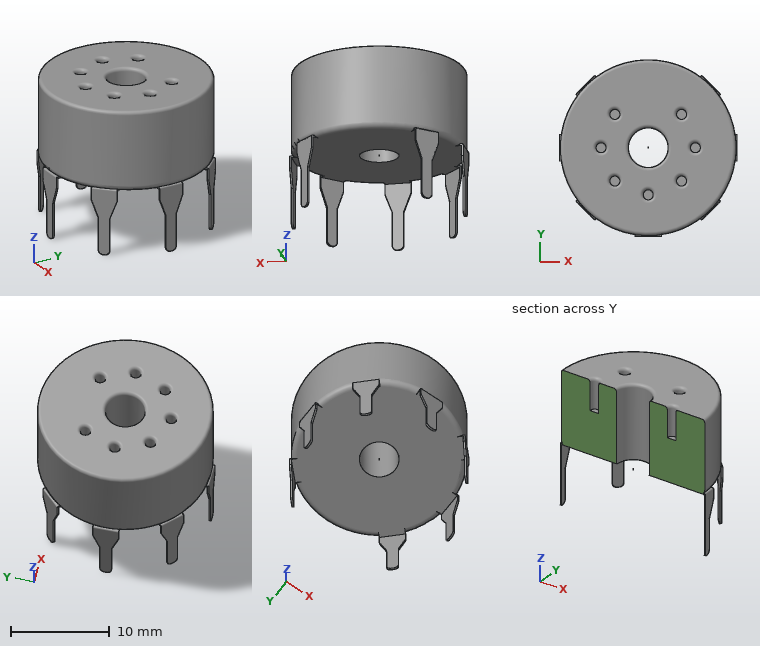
import cadquery as cq
import math

HOUSING_DIAMETER = 17.8
HOUSING_HEIGHT = 8.8
BOTTOM_EDGE_RADIUS = 0.6
TOP_EDGE_RADIUS = 0.36
BORE_DIAMETER = 4.0

CONTACT_SPACING = 45
CONTACT_COUNT = 7
FIRST_CONTACT_ANGLE = 135
CONTACT_ANGLES = [FIRST_CONTACT_ANGLE + i * CONTACT_SPACING for i in range(CONTACT_COUNT)]

SOCKET_DIAMETER = 1.0
SOCKET_CIRCLE_RADIUS = 4.77
SOCKET_DEPTH = 3.6

TERMINAL_OUTER_RADIUS = 9.0
TERMINAL_THICKNESS = 0.2
TERMINAL_ROOT_RADIUS = 7.92
SHOULDER_WIDTH = 2.7
LEG_WIDTH = 1.2
SHOULDER_Z = -1.1
LEG_TOP_Z = -3.05
TIP_Z = -7.1
TIP_RADIUS = 0.5
BEND_OUTER_RADIUS = 0.15

CENTRE_PIN_DIAMETER = 0.1
CENTRE_PIN_HEIGHT = 0.1


def place_on_ring(shape, angle):
    """Turn a shape built on the +X side to the given angle about the axis."""
    return shape.rotate((0, 0, 0), (0, 0, 1), angle)


def hole_with_round_mouth(diameter, depth):
    """Cutter on the Z axis: a straight hole down from the top face, with a rounded mouth."""
    radius = diameter / 2
    mouth_radius = radius + TOP_EDGE_RADIUS
    mouth_bottom = HOUSING_HEIGHT - TOP_EDGE_RADIUS
    diagonal = TOP_EDGE_RADIUS * math.sqrt(0.5)
    return (
        cq.Workplane("XZ")
        .moveTo(0, HOUSING_HEIGHT - depth)
        .lineTo(radius, HOUSING_HEIGHT - depth)
        .lineTo(radius, mouth_bottom)
        .threePointArc((mouth_radius - diagonal, mouth_bottom + diagonal), (mouth_radius, HOUSING_HEIGHT))
        .lineTo(0, HOUSING_HEIGHT)
        .close()
        .revolve(360, (0, 0, 0), (0, 1, 0))
    )


def make_block():
    """Round block with rounded rims, a through bore and the blind sockets."""
    block = cq.Workplane("XY").circle(HOUSING_DIAMETER / 2).extrude(HOUSING_HEIGHT)
    block = block.faces(">Z").edges().fillet(TOP_EDGE_RADIUS)
    block = block.faces("<Z").edges().fillet(BOTTOM_EDGE_RADIUS)
    block = block.cut(hole_with_round_mouth(BORE_DIAMETER, HOUSING_HEIGHT))
    socket = hole_with_round_mouth(SOCKET_DIAMETER, SOCKET_DEPTH).translate((SOCKET_CIRCLE_RADIUS, 0, 0))
    for angle in CONTACT_ANGLES:
        block = block.cut(place_on_ring(socket, angle))
    return block


def make_terminal():
    """Terminal on the +X side: an L-shaped strip trimmed to the stepped, tapered front outline."""
    inner_face = TERMINAL_OUTER_RADIUS - TERMINAL_THICKNESS
    strip = (
        cq.Workplane("XZ")
        .moveTo(TERMINAL_ROOT_RADIUS, TERMINAL_THICKNESS)
        .lineTo(TERMINAL_OUTER_RADIUS, TERMINAL_THICKNESS)
        .lineTo(TERMINAL_OUTER_RADIUS, TIP_Z)
        .lineTo(inner_face, TIP_Z)
        .lineTo(inner_face, 0)
        .lineTo(TERMINAL_ROOT_RADIUS, 0)
        .close()
        .extrude(SHOULDER_WIDTH / 2, both=True)
        .edges("|Y and >X and >Z")
        .fillet(BEND_OUTER_RADIUS)
    )
    half_shoulder = SHOULDER_WIDTH / 2
    half_leg = LEG_WIDTH / 2
    outline = (
        cq.Workplane("YZ")
        .polyline([
            (-half_shoulder, TERMINAL_THICKNESS),
            (half_shoulder, TERMINAL_THICKNESS),
            (half_shoulder, SHOULDER_Z),
            (half_leg, LEG_TOP_Z),
            (half_leg, TIP_Z),
            (-half_leg, TIP_Z),
            (-half_leg, LEG_TOP_Z),
            (-half_shoulder, SHOULDER_Z),
        ])
        .close()
        .extrude(TERMINAL_OUTER_RADIUS)
        .edges("|X and <Z")
        .fillet(TIP_RADIUS)
    )
    return strip.intersect(outline)


def make_housing():
    """Block and its terminals as one solid."""
    housing = make_block()
    terminal = make_terminal()
    for angle in CONTACT_ANGLES:
        housing = housing.union(place_on_ring(terminal, angle))
    return housing


def make_centre_pin():
    """Tiny cylinder standing on the bottom plane, in the middle of the bore."""
    return cq.Workplane("XY").circle(CENTRE_PIN_DIAMETER / 2).extrude(CENTRE_PIN_HEIGHT)


housing = make_housing()
centre_pin = make_centre_pin()

result = cq.Compound.makeCompound([housing.val(), centre_pin.val()])